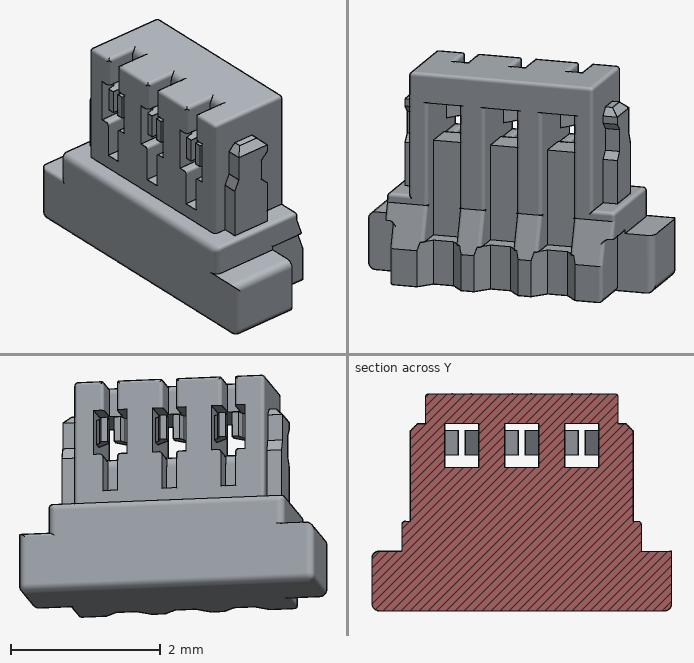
import cadquery as cq
import math

pitch = 0.8
pole_count = 3
small_radius = 0.05
large_radius = 0.1
margin = 0.1

flange_width = 4.0
flange_depth = 1.0
flange_height = 0.8

shoulder_width = 3.2
shoulder_height = 1.2
total_depth = 1.65
slope_bottom = 0.5
slope_top = 1.08
overhang_bottom = 0.85

skirt_width = 2.98

tower_width = 2.58
tower_front = 0.25
tower_back = 1.45
tower_top = 2.9

ear_width = 2.98
ear_front = 0.43
ear_neck_front = 0.5
ear_back = 1.0
ear_bevel = 0.1
ear_top = 2.5
ear_slope_bottom = 1.9
ear_slope_top = 2.05
notch_bottom = 1.9
notch_top = 2.2

window_half_width = 0.225
window_bottom = 1.9
window_top = 2.5
top_slot_half_width = 0.087
top_slot_back = 0.66
top_slot_back_radius = 0.1
recess_half_width = 0.1
recess_bottom = 1.4
recess_back = 0.61
recess_back_radius = 0.15
recess_corner_radius = 0.04
seat_top = 1.92

finger_front = 0.29
finger_bottom = 2.08
finger_top = 2.41
finger_gap_half = 0.045
finger_face_half = 0.135
finger_bend_half = 0.17
finger_bend_outer = 0.4
finger_bend_inner = 0.41
finger_root_half = window_half_width + 0.02
finger_root_front = 0.48
finger_root_back = 0.66

channel_front = 1.2
channel_bottom = 0.61
entry_half_width = 0.31
entry_neck_half_width = 0.14
diagonal = math.sqrt(0.5)


def prism_along_x(outline, half_width):
    """Extrude a closed YZ sketch symmetrically about X = 0."""
    return outline.close().extrude(half_width, both=True)


def yz_polygon(points, half_width):
    return prism_along_x(cq.Workplane("YZ").polyline(points), half_width)


def box_between(x_half, y_low, y_high, z_low, z_high):
    return (
        cq.Workplane("XY", origin=(0, (y_low + y_high) / 2, z_low))
        .rect(2 * x_half, y_high - y_low)
        .extrude(z_high - z_low)
    )


def flared_slot(plane, half_width, radius, mouth, tail):
    """Sketch a slot whose mouth edges are rounded outwards on both sides.

    The first axis is the slot width; the slot runs from tail to mouth on the second axis.
    """
    direction = math.copysign(1, mouth - tail)
    tangent = mouth - direction * radius
    mid_x = half_width + radius * (1 - diagonal)
    mid_y = tangent + direction * radius * diagonal
    outer = half_width + radius
    beyond = mouth + direction * margin
    return (
        plane.moveTo(-half_width, tail)
        .lineTo(half_width, tail)
        .lineTo(half_width, tangent)
        .threePointArc((mid_x, mid_y), (outer, mouth))
        .lineTo(outer, beyond)
        .lineTo(-outer, beyond)
        .lineTo(-outer, mouth)
        .threePointArc((-mid_x, mid_y), (-half_width, tangent))
        .close()
    )


def make_flange():
    """The two wings are rounded differently: -X at its front and rear corners, +X over its end."""
    block = box_between(flange_width / 2, 0, flange_depth, 0, flange_height)
    lower_edges = block.edges("<Z").edges("not(>Y)").vals()

    softened = block.edges("<Y and >Z").fillet(small_radius)
    left_edges = block.edges("|Z").add(lower_edges)
    left = left_edges.fillet(large_radius).intersect(softened)

    end_top_edge = block.faces(">X").edges(">Z").vals()
    right_edges = block.edges("|Z").edges("<Y").add(end_top_edge).add(lower_edges)
    right = right_edges.fillet(large_radius)

    right_side = box_between(flange_width, 0, flange_depth, 0, flange_height)
    right_side = right_side.translate((flange_width, 0, 0))
    return left.cut(right_side).union(right.intersect(right_side))


def make_shoulder():
    slope_share = (overhang_bottom - slope_bottom) / (slope_top - slope_bottom)
    overhang_back = total_depth - (total_depth - tower_back) * slope_share
    embedded_bottom = flange_height - large_radius
    outline = [
        (0, embedded_bottom),
        (flange_depth, embedded_bottom),
        (flange_depth, overhang_bottom),
        (overhang_back, overhang_bottom),
        (tower_back, slope_top),
        (tower_back, shoulder_height),
        (0, shoulder_height),
    ]
    shoulder = yz_polygon(outline, shoulder_width / 2)
    front_edges = shoulder.edges("<Y").edges("|Z or >Z")
    shoulder = front_edges.fillet(large_radius)
    above_overhang = cq.selectors.BoxSelector(
        (-flange_width, flange_depth, overhang_bottom + small_radius),
        (flange_width, total_depth, shoulder_height - small_radius),
    )
    side_edges = shoulder.faces("<X or >X").edges(above_overhang)
    shoulder = side_edges.fillet(small_radius)
    return shoulder.faces(">Z").edges("<X or >X").fillet(small_radius)


def make_skirt():
    outline = [
        (flange_depth / 2, 0),
        (total_depth, 0),
        (total_depth, slope_bottom),
        (tower_back, slope_top),
        (flange_depth / 2, slope_top),
    ]
    skirt = yz_polygon(outline, skirt_width / 2)
    side_edges = skirt.faces("<X or >X").edges("not(<Y or >Z)")
    return side_edges.fillet(small_radius)


def make_tower():
    tower = box_between(tower_width / 2, tower_front, tower_back, shoulder_height / 2, tower_top)
    return tower.edges("|Z or >Z").fillet(small_radius)


def make_ears():
    """Both ears as one bar through the tower, topped by a bevelled cap."""
    notch_back = ear_back - ear_bevel
    cap_bottom = ear_top - ear_bevel
    outline = [
        (ear_front, shoulder_height / 2),
        (ear_front, ear_slope_bottom),
        (ear_neck_front, ear_slope_top),
        (ear_neck_front, cap_bottom),
        (ear_back, cap_bottom),
        (ear_back, notch_top + ear_bevel),
        (notch_back, notch_top),
        (notch_back, notch_bottom),
        (ear_back, notch_bottom - ear_bevel),
        (ear_back, shoulder_height / 2),
    ]
    bar = yz_polygon(outline, ear_width / 2)
    cap = (
        cq.Workplane("XY", origin=(0, (ear_neck_front + ear_back) / 2, cap_bottom))
        .rect(ear_width, ear_back - ear_neck_front)
        .extrude(ear_bevel, taper=45)
    )
    return bar.union(cap)


def make_top_slot():
    """Slot open at the top and front, with every mouth edge rounded."""
    start = tower_front - margin
    back_edge = top_slot_back + top_slot_back_radius
    tangent = tower_top - top_slot_back_radius
    floor = window_top - margin
    ceiling = tower_top + margin
    side_view = (
        cq.Workplane("YZ")
        .moveTo(start, floor)
        .lineTo(top_slot_back, floor)
        .lineTo(top_slot_back, tangent)
        .threePointArc(
            (
                back_edge - top_slot_back_radius * diagonal,
                tangent + top_slot_back_radius * diagonal,
            ),
            (back_edge, tower_top),
        )
        .lineTo(back_edge, ceiling)
        .lineTo(start, ceiling)
    )
    mouth = flared_slot(cq.Workplane("XZ"), top_slot_half_width, small_radius, tower_top, floor)
    slot = mouth.extrude(-total_depth).intersect(prism_along_x(side_view, pitch / 2))
    front_plane = cq.Workplane("XY", origin=(0, 0, window_top))
    entry_tail = tower_front + 2 * small_radius
    front = flared_slot(front_plane, top_slot_half_width, small_radius, tower_front, entry_tail)
    return slot.union(front.extrude(ceiling - window_top))


def seat_arc(outline, start_z):
    """Continue a YZ sketch from the seat's front at start_z over its rounded top."""
    centre_y = recess_back + recess_back_radius
    centre_z = seat_top - recess_back_radius
    start_angle = math.pi - math.asin((start_z - centre_z) / recess_back_radius)
    mid_angle = (start_angle + math.pi / 2) / 2
    start = (
        centre_y + recess_back_radius * math.cos(start_angle),
        start_z,
    )
    middle = (
        centre_y + recess_back_radius * math.cos(mid_angle),
        centre_z + recess_back_radius * math.sin(mid_angle),
    )
    return outline.lineTo(*start).threePointArc(middle, (centre_y, seat_top))


def make_window():
    """Opening from the front face through to the back, over the rounded seat."""
    start = tower_front - margin
    end = total_depth + margin
    outline = cq.Workplane("YZ").moveTo(start, window_top).lineTo(start, window_bottom)
    outline = seat_arc(outline, window_bottom).lineTo(end, seat_top).lineTo(end, window_top)
    return prism_along_x(outline, window_half_width)


def make_recess():
    """Narrow pocket below the window, with rounded top corners."""
    start = tower_front - margin
    outline = cq.Workplane("YZ").moveTo(start, seat_top).lineTo(start, recess_bottom)
    outline = outline.lineTo(recess_back, recess_bottom)
    outline = seat_arc(outline, seat_top - recess_back_radius)
    mouth = flared_slot(
        cq.Workplane("XZ"), recess_half_width, recess_corner_radius, window_bottom, recess_bottom
    )
    return mouth.extrude(-total_depth).intersect(prism_along_x(outline, pitch / 2))


def make_wire_channel():
    """Open channel up the back, its edges rounded along the slope, over a tapered entry."""
    sloped_plane = cq.Plane(
        origin=(0, total_depth, slope_bottom),
        xDir=(1, 0, 0),
        normal=(0, tower_back - total_depth, slope_top - slope_bottom),
    )
    slope_length = math.hypot(total_depth - tower_back, slope_top - slope_bottom)
    rounding_depth = 2 * small_radius
    sloped = flared_slot(
        cq.Workplane(sloped_plane), window_half_width, small_radius, 0, -rounding_depth
    )
    sloped = sloped.extrude(slope_length)
    channel_zone = box_between(
        pitch / 2, channel_front, total_depth + margin, channel_bottom, slope_top
    )
    upright_plane = cq.Workplane("XY", origin=(0, 0, slope_top))
    upright = flared_slot(
        upright_plane, window_half_width, small_radius, tower_back, channel_front
    )
    upright = upright.extrude(window_top - slope_top)
    core = box_between(
        window_half_width, channel_front, total_depth + margin, channel_bottom, window_top
    )
    entry = (
        cq.Workplane("XY", origin=(0, 0, -margin))
        .moveTo(-entry_half_width, total_depth)
        .lineTo(-entry_neck_half_width, tower_back)
        .lineTo(entry_neck_half_width, tower_back)
        .lineTo(entry_half_width, total_depth)
        .close()
        .extrude(channel_bottom + margin)
    )
    return core.union(sloped.intersect(channel_zone)).union(upright).union(entry)


def make_fingers():
    """Pair of bent fingers reaching from the window walls towards its middle."""
    outline = [
        (finger_gap_half, finger_front),
        (finger_face_half, finger_front),
        (finger_bend_half, finger_bend_outer),
        (finger_root_half, finger_root_front),
        (finger_root_half, finger_root_back),
        (finger_gap_half, finger_bend_inner),
    ]
    plane = cq.Workplane("XY", origin=(0, 0, finger_bottom))
    finger = plane.polyline(outline).close().extrude(finger_top - finger_bottom)
    return finger.union(finger.mirror("YZ"))


def cut_contacts(body):
    opening = make_top_slot().union(make_window()).union(make_recess()).union(make_wire_channel())
    opening = opening.cut(make_fingers())
    for index in range(pole_count):
        offset = (index - (pole_count - 1) / 2) * pitch
        body = body.cut(opening.translate((offset, 0, 0)))
    return body


def make_shoulder_on_skirt():
    """Join shoulder and skirt, rounding the inner corner under the overhang."""
    joined = make_shoulder().union(make_skirt())
    for side in (-1, 1):
        corner = cq.selectors.NearestToPointSelector(
            (side * skirt_width / 2, (flange_depth + tower_back) / 2, overhang_bottom)
        )
        joined = joined.edges(corner).fillet(small_radius)
    return joined


body = make_flange().union(make_shoulder_on_skirt())
body = body.union(make_tower()).union(make_ears())
result = cut_contacts(body)